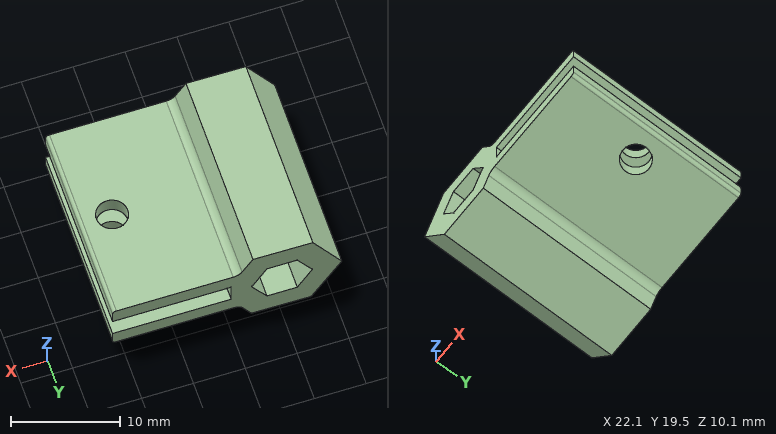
import cadquery as cq
import math

total_length = 22.13
depth = 19.5

barrel_radius = 5.78
barrel_turn = 0.9
bore_across_flats = 5.07
bore_corner_diameter = bore_across_flats / math.cos(math.radians(30))

arms_height = 5.78
arms_center_z = -0.09
slot_height = 2.24
slot_start_x = 4.91
tip_radius = 0.38
root_radius = 1.0

hole_diameter = 3.0
hole_to_tip = 3.19

barrel_left_x = -barrel_radius * math.cos(math.radians(barrel_turn))
tip_x = barrel_left_x + total_length
arms_top_z = arms_center_z + arms_height / 2
arms_bottom_z = arms_center_z - arms_height / 2


def hexagon_prism(corner_diameter):
    """Hexagonal prism along Y, with two corners on the X axis."""
    return cq.Workplane("XZ").polygon(6, corner_diameter).extrude(depth / 2, both=True)


def arm_box(start_x, height):
    """Full-depth box from start_x to the arm tips."""
    length = tip_x - start_x
    center = (start_x + length / 2, 0, arms_center_z)
    return cq.Workplane("XY").box(length, depth, height).translate(center)


def edges_along_y(body, low_x, high_x, low_z, high_z):
    """Select the depth-wise edges inside the given X and Z range."""
    selector = cq.selectors.BoxSelector((low_x, -depth, low_z), (high_x, depth, high_z))
    return body.edges("|Y").edges(selector)


barrel = hexagon_prism(2 * barrel_radius).rotate((0, 0, 0), (0, 1, 0), -barrel_turn)
body = barrel.union(arm_box(0, arms_height))

body = body.edges("|Y and >X").fillet(tip_radius)
edge_margin = 0.02
for arm_face_z in (arms_bottom_z, arms_top_z):
    root = edges_along_y(
        body, 0, tip_x - 2 * tip_radius, arm_face_z - edge_margin, arm_face_z + edge_margin
    )
    body = root.fillet(root_radius)

body = body.cut(arm_box(slot_start_x, slot_height))
body = body.cut(hexagon_prism(bore_corner_diameter))

screw_hole = (
    cq.Workplane("XY")
    .center(tip_x - hole_to_tip, 0)
    .circle(hole_diameter / 2)
    .extrude(arms_height, both=True)
)
result = body.cut(screw_hole)